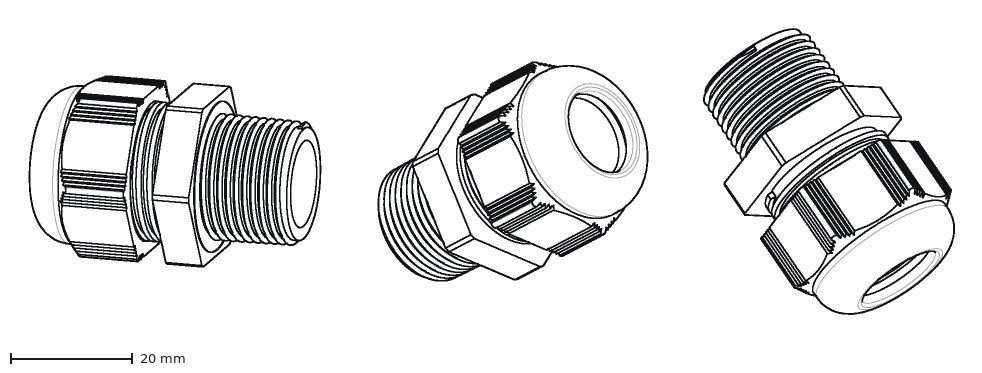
import cadquery as cq
import math


across_flats = 27.0
sharp_corner_radius = across_flats / 2 / math.cos(math.pi / 6)
bore_dia = 14.4
seal_dia = 17.9
overlap = 0.15

dome_end_x = 5.35
dome_dia = 26.15
dome_face_dia = 16.6
mouth_radius = 0.5
lip_end_x = 2.05
chamfer_start_x = 6.35
chamfer_end_x = 8.52
cap_end_x = 18.35
corner_fillet = 1.0
cap_thread_clearance = 0.1

groove_width = 0.7
grooves_per_side = 4
groove_corner_gap = 0.7

seal_start_x = 3.9
seal_end_x = 23.35

spigot_start_x = chamfer_start_x
spigot_dia = 21.2
flange_start_x = seal_end_x
flange_end_x = 29.6
flange_across_corners = 30.65
collar_dia = 25.0
collar_thickness = 0.15
housing_end_x = 44.6
core_end_dia = 18.75
taper_angle = 1.0

cap_thread_dia = 23.02
cap_thread_base_width = 1.1
cap_thread_crest_width = 0.9
cap_thread_length = 13.25
cap_thread_turns = 7
cap_thread_end_x = 22.7
cap_thread_end_angle = 23.0
cap_thread_end_z = 3.45

pipe_thread_height = 0.85
pipe_thread_width = 1.1
pipe_thread_length = 15.57
pipe_thread_turns = 11
pipe_thread_end_x = 44.05
pipe_thread_end_angle = 90.0
runout_flat_z = 9.73
runout_flat_length = 3.12


def cylinder(start_x, end_x, dia):
    return cq.Workplane("YZ").workplane(offset=start_x).circle(dia / 2).extrude(end_x - start_x)


def hexagon_prism(start_x, end_x, flat_distance):
    """Hexagon with flats facing +Z and -Z and corners on the Y axis."""
    corner_dia = flat_distance / math.cos(math.pi / 6)
    hexagon = cq.Workplane("YZ").workplane(offset=start_x).polygon(6, corner_dia)
    return hexagon.extrude(end_x - start_x)


def helical_ridge(path, profile, core_radius, end_x, end_angle):
    """Right-handed ridge that ends at end_x, at end_angle from +Y towards +Z, and runs back towards -X.

    The path is a helix about Z. The profile lists (height above the core, offset along the axis).
    """
    points = [(core_radius + height, along) for height, along in profile]
    ridge = cq.Workplane("XZ").polyline(points).close().sweep(cq.Workplane(path), isFrenet=True)
    ridge = ridge.rotate((0, 0, 0), (0, 1, 0), -90)
    return ridge.rotate((0, 0, 0), (1, 0, 0), end_angle - 90).translate((end_x, 0, 0))


def flat_outline():
    """Points along the cap nut's top flat from +Y to -Y, with the grooves along both ends."""
    depth = groove_width * math.sin(math.pi / 3)
    flat_z = across_flats / 2
    half_flat = flat_z * math.tan(math.pi / 6)
    flat_end = half_flat - corner_fillet * math.tan(math.pi / 6)
    groove_run = groove_width * grooves_per_side
    points = [(flat_end, flat_z)]
    for run_start in (half_flat - groove_corner_gap, groove_run + groove_corner_gap - half_flat):
        points.append((run_start, flat_z))
        for index in range(grooves_per_side):
            groove_start = run_start - index * groove_width
            points.append((groove_start - groove_width / 2, flat_z - depth))
            points.append((groove_start - groove_width, flat_z))
    points.append((-flat_end, flat_z))
    return points


def turned(point, angle):
    y, z = point
    return (y * math.cos(angle) - z * math.sin(angle), y * math.sin(angle) + z * math.cos(angle))


def grooved_prism():
    """The cap nut's hexagon, with round corners and grip grooves along its whole length."""
    top_flat = flat_outline()
    outline = cq.Workplane("YZ").moveTo(*top_flat[0])
    for flat in range(6):
        angle = flat * math.pi / 3
        for point in top_flat[1:]:
            outline = outline.lineTo(*turned(point, angle))
        outline = outline.radiusArc(turned(top_flat[0], angle + math.pi / 3), -corner_fillet)
    return outline.close().extrude(cap_end_x)


def make_cap_nut():
    inner_radius = cap_thread_dia / 2 + cap_thread_clearance
    round_part = (
        cq.Workplane("XY")
        .moveTo(cap_end_x, inner_radius)
        .lineTo(cap_end_x, sharp_corner_radius)
        .lineTo(chamfer_end_x, sharp_corner_radius)
        .lineTo(chamfer_start_x, dome_dia / 2)
        .lineTo(dome_end_x, dome_dia / 2)
        .tangentArcPoint((0, dome_face_dia / 2), relative=False)
        .lineTo(0, bore_dia / 2 + mouth_radius)
        .radiusArc((mouth_radius, bore_dia / 2), -mouth_radius)
        .lineTo(lip_end_x, bore_dia / 2)
        .lineTo(lip_end_x, seal_dia / 2)
        .lineTo(spigot_start_x, seal_dia / 2)
        .lineTo(spigot_start_x, inner_radius)
        .close()
        .revolve(360, (0, 0, 0), (1, 0, 0))
    )
    return round_part.intersect(grooved_prism())


def make_seal():
    sleeve = cylinder(seal_start_x, seal_end_x, seal_dia)
    return sleeve.cut(cylinder(seal_start_x, seal_end_x, bore_dia))


def make_flange():
    """Hexagon whose corners are cut by flats at right angles to the corner directions."""
    trim = hexagon_prism(flange_start_x, flange_end_x, flange_across_corners).rotate((0, 0, 0), (1, 0, 0), 30)
    return hexagon_prism(flange_start_x, flange_end_x, across_flats).intersect(trim)


def make_cap_thread():
    core_radius = spigot_dia / 2
    height = cap_thread_dia / 2 - core_radius
    half_base = cap_thread_base_width / 2
    half_crest = cap_thread_crest_width / 2
    profile = [(-overlap, -half_base), (-overlap, half_base), (height, half_crest), (height, -half_crest)]
    path = cq.Wire.makeHelix(cap_thread_length / cap_thread_turns, cap_thread_length, core_radius)
    ridge = helical_ridge(path, profile, core_radius, cap_thread_end_x, cap_thread_end_angle)
    end_cut = cq.Workplane("XY").box(2 * cap_thread_base_width, cap_thread_dia, cap_thread_dia,
                                     centered=(True, False, False))
    return ridge.cut(end_cut.translate((cap_thread_end_x, 0, cap_thread_end_z)))


def make_pipe_core():
    length = housing_end_x - flange_end_x
    start_radius = core_end_dia / 2 + length * math.tan(math.radians(taper_angle))
    return (
        cq.Workplane("XY")
        .polyline([
            (flange_end_x, 0),
            (flange_end_x, start_radius),
            (housing_end_x, core_end_dia / 2),
            (housing_end_x, 0),
        ])
        .close()
        .revolve(360, (0, 0, 0), (1, 0, 0))
    )


def make_pipe_thread():
    half_width = pipe_thread_width / 2
    profile = [(-overlap, -half_width), (-overlap, half_width), (pipe_thread_height, 0)]
    core_radius = core_end_dia / 2
    pitch = pipe_thread_length / pipe_thread_turns
    path = cq.Wire.makeHelix(pitch, pipe_thread_length, core_radius, angle=taper_angle)
    ridge = helical_ridge(path, profile, core_radius, pipe_thread_end_x, pipe_thread_end_angle)
    flat_cut = cq.Workplane("XY").box(
        2 * pipe_thread_width, runout_flat_length, pipe_thread_height, centered=(True, False, False)
    )
    return ridge.cut(flat_cut.translate((pipe_thread_end_x, 0, runout_flat_z)))


def make_housing():
    body = cylinder(spigot_start_x, flange_start_x, spigot_dia)
    body = body.union(make_cap_thread())
    body = body.union(make_flange())
    body = body.union(cylinder(flange_end_x, flange_end_x + collar_thickness, collar_dia))
    body = body.union(make_pipe_core().union(make_pipe_thread()))
    body = body.cut(cylinder(spigot_start_x, seal_end_x, seal_dia))
    return body.cut(cylinder(seal_end_x, housing_end_x, bore_dia))


cap_nut = make_cap_nut()
seal = make_seal()
housing = make_housing()

result = cq.Compound.makeCompound([cap_nut.solids().val(), seal.solids().val(), housing.solids().val()])